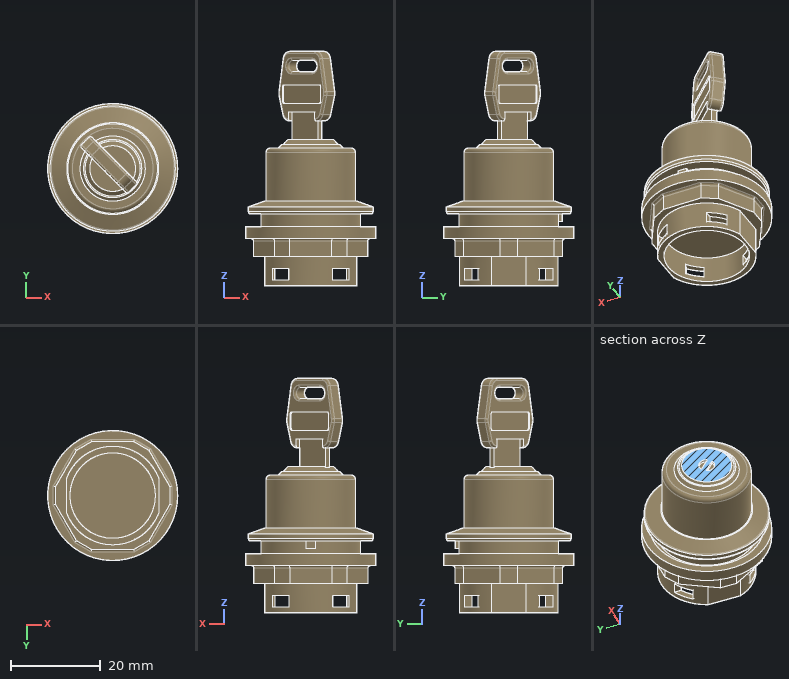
import cadquery as cq
import math

total_height = 52.25

sleeve_radius = 10.95
sleeve_flat_distance = 20.55 / 2
sleeve_bore_radius = 9.5

window_bottom = 1.35
window_top = 3.85
window_inner_x = 4.9
window_outer_corner = (8.55, 6.9)
window_inner_y = 4.2
window_slant_angle = 70.0

nut_bottom = 6.55
nut_across_flats = 24.05
nut_across_trimmed_corners = 25.5
nut_fillet = 0.495
collar_radius = 29.0 / 2
collar_bottom = 10.5
collar_top = 13.2
collar_recess_radius = 25.35 / 2
collar_recess_depth = 1.0
nut_bore_radius = 22.6 / 2
nut_bore_gap_depth = 0.5

neck_radius = 22.2 / 2
lug_reach = 11.95
lug_width = 2.1
lug_bottom = 14.3

flange_bottom = 16.05
flange_radius = 27.9 / 2
flange_rim_radius = 27.4 / 2
flange_lower_bevel = 0.45
flange_side_top = 17.55
flange_upper_bevel = 0.13
flange_top = 18.9
flange_top_radius = 10.25

barrel_radius = 19.95 / 2
barrel_top = 30.7
barrel_fillet = 1.0
lower_cone_radius = 7.25
upper_cone_bottom = 31.5
lower_cone_top_radius = 6.5
upper_cone_radius = 12.3 / 2
lock_face_radius = 10.2 / 2
lock_face = 32.6
keyway_radius = 1.7
keyway_depth = lock_face - upper_cone_bottom

key_angle = -45.0
key_offset = -1.2
head_thickness = 3.35
head_bottom = 36.75
head_widest = 42.8
head_bottom_half_width = 5.8
head_half_width = 7.5
head_top_half_width = 5.8
head_corner_radius = 2.0
head_edge_fillet = 0.495
blade_width = 8.25
blade_thickness = 1.25
notch_top = 38.75
ring_slot_height = 48.95
ring_slot_radius = 1.25
ring_slot_length = 6.55
label_width = 12.0
label_bottom = 40.65
label_top = 44.8
label_corner_radius = 0.495
label_depth = 0.3


def disc(radius, bottom, top):
    return cq.Workplane("XY").workplane(offset=bottom).circle(radius).extrude(top - bottom)


def hexagon(across_flats, bottom, top):
    across_corners = across_flats / math.cos(math.pi / 6)
    return cq.Workplane("XY").workplane(offset=bottom).polygon(6, across_corners).extrude(top - bottom)


def make_sleeve():
    sleeve = disc(sleeve_radius, 0, nut_bottom)
    flats = cq.Workplane("XY").rect(2 * sleeve_flat_distance, 2 * sleeve_radius).extrude(nut_bottom)
    return sleeve.intersect(flats)


def make_window_cutters():
    """One slanted cutter for the +X +Y window, mirrored to the other three quarters."""
    corner_x, corner_y = window_outer_corner
    slant = math.tan(math.radians(window_slant_angle))
    cutter = (
        cq.Workplane("XY").workplane(offset=window_bottom)
        .moveTo(window_inner_x, window_inner_y)
        .lineTo(corner_x - (corner_y - window_inner_y) / slant, window_inner_y)
        .lineTo(corner_x + (sleeve_radius - corner_y) / slant, sleeve_radius)
        .lineTo(window_inner_x, sleeve_radius)
        .close()
        .extrude(window_top - window_bottom)
    )
    pair = cutter.union(cutter.mirror("YZ"))
    return pair.union(pair.mirror("XZ"))


def make_nut_and_collar():
    trimmed_corners = hexagon(nut_across_trimmed_corners, nut_bottom, collar_bottom)
    trimmed_corners = trimmed_corners.rotate((0, 0, 0), (0, 0, 1), 30)
    nut = hexagon(nut_across_flats, nut_bottom, collar_bottom).intersect(trimmed_corners)
    nut = nut.union(disc(collar_radius, collar_bottom, collar_top))
    collar_underside = nut.faces("<Z[1]")
    nut = collar_underside.edges("%LINE").fillet(nut_fillet)
    recess_floor = collar_top - collar_recess_depth
    nut = nut.cut(disc(collar_recess_radius, recess_floor, collar_top))
    return nut.cut(disc(nut_bore_radius, recess_floor - nut_bore_gap_depth, recess_floor))


def make_neck():
    neck = disc(neck_radius, nut_bottom, flange_bottom)
    lug = (
        cq.Workplane("XY").workplane(offset=lug_bottom)
        .center(0, lug_reach / 2)
        .rect(lug_width, lug_reach)
        .extrude(flange_bottom - lug_bottom)
    )
    return neck.union(lug)


def make_flange_and_barrel():
    """Turned upper body: flange, barrel with a rounded shoulder, and two cones."""
    shoulder_radius = barrel_radius - barrel_fillet
    profile = [
        (flange_rim_radius, flange_bottom),
        (flange_radius, flange_bottom + flange_lower_bevel),
        (flange_radius, flange_side_top),
        (flange_rim_radius, flange_side_top + flange_upper_bevel),
        (flange_top_radius, flange_top),
        (barrel_radius, flange_top),
        (barrel_radius, barrel_top - barrel_fillet),
    ]
    outline = cq.Workplane("XZ").moveTo(0, flange_bottom)
    for point in profile:
        outline = outline.lineTo(*point)
    return (
        outline
        .radiusArc((shoulder_radius, barrel_top), -barrel_fillet)
        .lineTo(lower_cone_radius, barrel_top)
        .lineTo(lower_cone_top_radius, upper_cone_bottom)
        .lineTo(upper_cone_radius, upper_cone_bottom)
        .lineTo(lock_face_radius, lock_face)
        .lineTo(0, lock_face)
        .close()
        .revolve(360, (0, 0, 0), (0, 1, 0))
    )


def make_key():
    """Key standing in the XZ plane, its width along X and centred on the axis."""
    half_thickness = head_thickness / 2
    head = (
        cq.Workplane("XZ").workplane(offset=-half_thickness)
        .moveTo(-head_bottom_half_width, head_bottom)
        .lineTo(head_bottom_half_width, head_bottom)
        .lineTo(head_half_width, head_widest)
        .lineTo(head_top_half_width, total_height)
        .lineTo(-head_top_half_width, total_height)
        .lineTo(-head_half_width, head_widest)
        .close()
        .extrude(head_thickness)
        .edges("|Y").fillet(head_corner_radius)
    )
    ring_slot = (
        cq.Workplane("XZ").workplane(offset=-half_thickness)
        .center(0, ring_slot_height)
        .slot2D(ring_slot_length + 2 * ring_slot_radius, 2 * ring_slot_radius)
        .extrude(head_thickness)
    )
    head = head.cut(ring_slot).faces("<Y or >Y").edges().fillet(head_edge_fillet)

    notch_height = notch_top - head_bottom
    notch = cq.Workplane("XY").box(blade_width, head_thickness, notch_height)
    head = head.cut(notch.translate((0, 0, head_bottom + notch_height / 2)))

    label_height = label_top - label_bottom
    label = (
        cq.Workplane("XY").box(label_width, label_depth, label_height)
        .edges("|Y").fillet(label_corner_radius)
    )
    for side in (-1, 1):
        label_y = side * (half_thickness - label_depth / 2)
        head = head.cut(label.translate((0, label_y, label_bottom + label_height / 2)))

    blade_bottom = lock_face - keyway_depth
    blade_height = notch_top - blade_bottom
    blade = cq.Workplane("XY").box(blade_width, blade_thickness, blade_height)
    return head.union(blade.translate((0, 0, blade_bottom + blade_height / 2)))


sleeve = make_sleeve().cut(make_window_cutters())
body = sleeve.union(make_neck()).union(make_flange_and_barrel()).union(make_nut_and_collar())
body = body.cut(disc(sleeve_bore_radius, 0, nut_bottom))
body = body.cut(disc(keyway_radius, lock_face - keyway_depth, lock_face))

key = make_key().translate((key_offset, 0, 0)).rotate((0, 0, 0), (0, 0, 1), key_angle)
result = body.union(key)